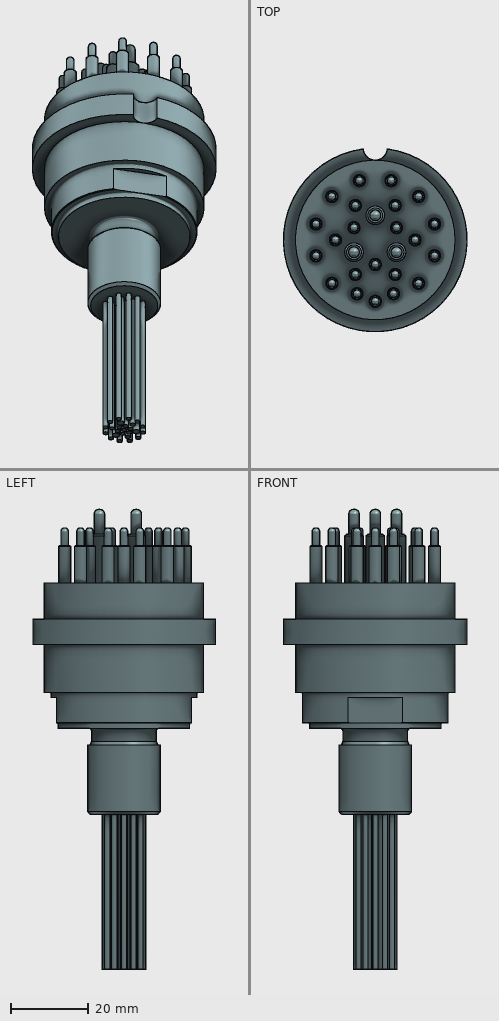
import cadquery as cq
import math


BODY_DIAMETER = 41.27
FLANGE_DIAMETER = 47.53
FLANGE_TOP = -9.4
FLANGE_BOTTOM = -16.0
BODY_BOTTOM = -28.4
NUT_DIAMETER = 37.72
NUT_BOTTOM = -36.3
NUT_CHAMFER = 0.2
CORNER_FILLET = 0.25
RIM_DIAMETER = 34.04
RIM_BOTTOM = -37.65

NOTCH_RADIUS = 3.1

FLAT_SPACING = 35.0
FLAT_TOP = -29.7

NECK_DIAMETER = 16.76
NECK_BOTTOM = -41.0
NECK_FILLET = 0.75
SLEEVE_DIAMETER = 18.85
SLEEVE_TOP = -41.9
SLEEVE_SHOULDER_DIAMETER = 17.6
SLEEVE_BOTTOM = -59.95
SLEEVE_CHAMFER = 0.75

POWER_COUNT = 3

WIRE_LENGTH = 40.0
WIRE_EMBED = 1.0
SIGNAL_WIRE_DIAMETER = 1.32
OUTER_WIRE_COUNT = 12
OUTER_WIRE_RADIUS = 5.0
MIDDLE_WIRE_COUNT = POWER_COUNT
MIDDLE_WIRE_RADIUS = 3.2
INNER_WIRE_COUNT = 6
INNER_WIRE_RADIUS = 1.7
INNER_WIRE_START = 30
POWER_WIRE_DIAMETER = 1.83
POWER_WIRE_RADIUS = 3.15
POWER_WIRE_START = 60

SIGNAL_DIAMETER = 3.17
SIGNAL_TIP_DIAMETER = 1.99
SIGNAL_SHOULDER = 9.6
SIGNAL_HEIGHT = 14.25
SIGNAL_EDGE = 0.25
SIGNAL_ROUND = 0.97

POWER_DIAMETER = 4.83
POWER_TIP_DIAMETER = 2.78
POWER_SHOULDER = 12.6
POWER_HEIGHT = 19.05
POWER_EDGE = 0.5
POWER_ROUND = 1.3

INNER_RADIUS = 6.35
INNER_SIGNAL_START = 30
POWER_START = 90
MIDDLE_RADIUS = 10.3
MIDDLE_COUNT = 6
OUTER_RADIUS = 15.875
OUTER_ARC_START = -45
OUTER_ARC_STEP = 30
OUTER_ARC_COUNT = 10
BOTTOM_ANGLE = 270
BOTTOM_PAIR_RADIUS = 14.7
BOTTOM_PAIR_HALF_ANGLE = 18.7


def cylinder(diameter, bottom, top):
    """Solid cylinder on the Z axis between two heights."""
    return cq.Workplane("XY").workplane(offset=bottom).circle(diameter / 2).extrude(top - bottom)


def polar(radius, angle):
    """XY point at a radius and an angle in degrees from +X."""
    return (radius * math.cos(math.radians(angle)), radius * math.sin(math.radians(angle)))


def make_body():
    """Round body with a flange that is notched at +Y."""
    body = cylinder(BODY_DIAMETER, BODY_BOTTOM, 0)
    flange = cylinder(FLANGE_DIAMETER, FLANGE_BOTTOM, FLANGE_TOP)
    notch = cylinder(2 * NOTCH_RADIUS, FLANGE_BOTTOM, FLANGE_TOP)
    flange = flange.cut(notch.translate((0, FLANGE_DIAMETER / 2, 0)))
    return body.union(flange)


def corner_fillet(diameter, ceiling, size):
    """Ring that rounds the inside corner where a cylinder meets the face above it."""
    inside = diameter / 2
    arc_middle = size * (1 - math.sqrt(0.5))
    return (
        cq.Workplane("XZ")
        .moveTo(inside - size, ceiling)
        .lineTo(inside + size, ceiling)
        .threePointArc((inside + arc_middle, ceiling - arc_middle), (inside, ceiling - size))
        .lineTo(inside - size, ceiling - size)
        .close()
        .revolve(360, (0, 0, 0), (0, 1, 0))
    )


def make_nut():
    """Nut below the body, with two wrench flats facing -Y and +Y, and the rim under it."""
    nut = cylinder(NUT_DIAMETER, NUT_BOTTOM, BODY_BOTTOM).faces("<Z").chamfer(NUT_CHAMFER)
    flat_height = FLAT_TOP - NUT_BOTTOM
    between_flats = (
        cq.Workplane("XY")
        .workplane(offset=NUT_BOTTOM)
        .rect(NUT_DIAMETER, FLAT_SPACING)
        .extrude(flat_height)
    )
    flat_band = cylinder(NUT_DIAMETER, NUT_BOTTOM, FLAT_TOP)
    nut = nut.cut(flat_band.cut(between_flats))
    rim = cylinder(RIM_DIAMETER, RIM_BOTTOM, NUT_BOTTOM)
    return (
        nut.union(rim)
        .union(corner_fillet(NUT_DIAMETER, BODY_BOTTOM, CORNER_FILLET))
        .union(corner_fillet(RIM_DIAMETER, NUT_BOTTOM, CORNER_FILLET))
    )


def make_sleeve():
    """Neck and cable sleeve, revolved from one half profile."""
    neck_radius = NECK_DIAMETER / 2
    sleeve_radius = SLEEVE_DIAMETER / 2
    sleeve = (
        cq.Workplane("XZ")
        .moveTo(0, RIM_BOTTOM)
        .lineTo(neck_radius, RIM_BOTTOM)
        .lineTo(neck_radius, NECK_BOTTOM)
        .lineTo(SLEEVE_SHOULDER_DIAMETER / 2, SLEEVE_TOP)
        .lineTo(sleeve_radius, SLEEVE_TOP)
        .lineTo(sleeve_radius, SLEEVE_BOTTOM + SLEEVE_CHAMFER)
        .lineTo(sleeve_radius - SLEEVE_CHAMFER, SLEEVE_BOTTOM)
        .lineTo(0, SLEEVE_BOTTOM)
        .close()
        .revolve(360, (0, 0, 0), (0, 1, 0))
    )
    return sleeve.union(corner_fillet(NECK_DIAMETER, RIM_BOTTOM, NECK_FILLET))


def make_wire(diameter):
    """Straight wire on the Z axis, hanging below the sleeve."""
    return cylinder(diameter, SLEEVE_BOTTOM - WIRE_LENGTH, SLEEVE_BOTTOM + WIRE_EMBED)


def ring(radius, count, start=0):
    """Points spread evenly on a circle, the first at the start angle."""
    return [polar(radius, start + index * 360 / count) for index in range(count)]


def make_contact(diameter, tip_diameter, shoulder, height, edge, tip_round):
    """Stepped pin with a chamfered shoulder and a rounded tip."""
    barrel = cylinder(diameter, 0, shoulder).faces(">Z").chamfer(edge)
    tip = cylinder(tip_diameter, 0, height).faces(">Z").edges().fillet(tip_round)
    return barrel.union(tip)


def signal_positions():
    """XY points of all signal contacts."""
    inner = ring(INNER_RADIUS, POWER_COUNT, INNER_SIGNAL_START)
    middle = ring(MIDDLE_RADIUS, MIDDLE_COUNT)
    outer_arc = [
        polar(OUTER_RADIUS, OUTER_ARC_START + index * OUTER_ARC_STEP) for index in range(OUTER_ARC_COUNT)
    ]
    bottom = polar(OUTER_RADIUS, BOTTOM_ANGLE)
    bottom_pair = [
        polar(BOTTOM_PAIR_RADIUS, BOTTOM_ANGLE + side * BOTTOM_PAIR_HALF_ANGLE) for side in (-1, 1)
    ]
    return inner + middle + outer_arc + bottom_pair + [bottom]


def copies(shape, points):
    """Copies of the shape, one at every XY point."""
    return [shape.translate((x, y, 0)) for x, y in points]


parts = [make_body(), make_nut(), make_sleeve()]

signal_wire = make_wire(SIGNAL_WIRE_DIAMETER)
parts += copies(signal_wire, ring(OUTER_WIRE_RADIUS, OUTER_WIRE_COUNT))
parts += copies(signal_wire, ring(INNER_WIRE_RADIUS, INNER_WIRE_COUNT, INNER_WIRE_START))
parts += copies(signal_wire, ring(MIDDLE_WIRE_RADIUS, MIDDLE_WIRE_COUNT))
parts.append(signal_wire)

power_wire = make_wire(POWER_WIRE_DIAMETER)
parts += copies(power_wire, ring(POWER_WIRE_RADIUS, POWER_COUNT, POWER_WIRE_START))

signal_contact = make_contact(
    SIGNAL_DIAMETER, SIGNAL_TIP_DIAMETER, SIGNAL_SHOULDER, SIGNAL_HEIGHT, SIGNAL_EDGE, SIGNAL_ROUND
)
parts += copies(signal_contact, signal_positions())

power_contact = make_contact(
    POWER_DIAMETER, POWER_TIP_DIAMETER, POWER_SHOULDER, POWER_HEIGHT, POWER_EDGE, POWER_ROUND
)
parts += copies(power_contact, ring(INNER_RADIUS, POWER_COUNT, POWER_START))

result = parts[0]
for part in parts[1:]:
    result = result.union(part)